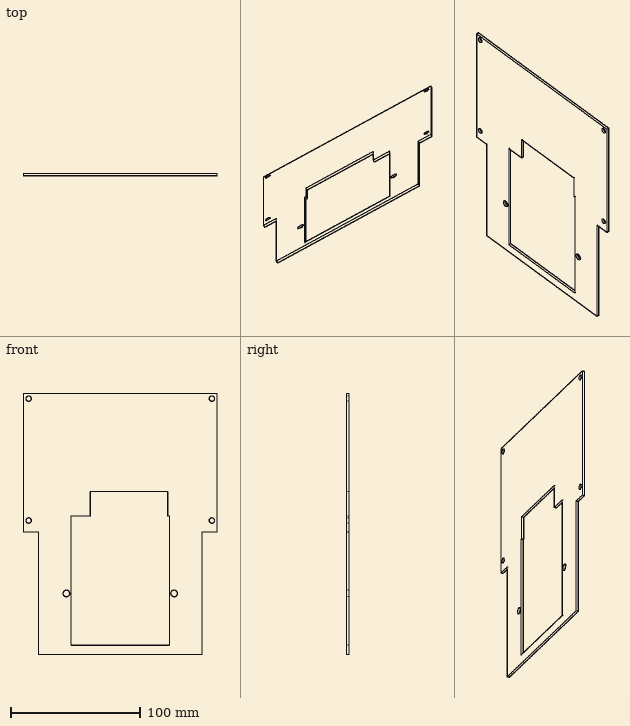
import cadquery as cq

thickness = 2.0
upper_width = 150.0
lower_width = 127.0
total_height = 202.5
lower_height = 95.0

window_width = 76.0
window_height = 100.0
window_bottom = 7.5
notch_width = 60.0
notch_height = 19.0
notch_right_step = 1.25

corner_hole_diameter = 4.0
corner_hole_inset = 4.0
corner_hole_spacing_z = 94.5
side_hole_diameter = 5.0
side_hole_spacing_x = 83.5
side_hole_height = 47.5

window_top = window_bottom + window_height
notch_right = window_width / 2 - notch_right_step
notch_center_x = notch_right - notch_width / 2
corner_hole_x = upper_width / 2 - corner_hole_inset
corner_hole_top = total_height - corner_hole_inset
corner_hole_bottom = corner_hole_top - corner_hole_spacing_z
side_hole_x = side_hole_spacing_x / 2


def panel(width, bottom, height, center_x=0.0):
    """Box through the plate thickness, placed by its bottom edge and centre line."""
    return (
        cq.Workplane("XY")
        .box(width, thickness, height, centered=(True, True, False))
        .translate((center_x, 0, bottom))
    )


def hole_pair(x, z, diameter):
    """Two through-hole cutters mirrored about the centre line."""
    return (
        cq.Workplane("XZ")
        .pushPoints([(-x, z), (x, z)])
        .circle(diameter / 2)
        .extrude(thickness, both=True)
    )


def plate():
    upper = panel(upper_width, lower_height, total_height - lower_height)
    lower = panel(lower_width, 0, lower_height)
    return upper.union(lower)


def window():
    opening = panel(window_width, window_bottom, window_height)
    notch = panel(notch_width, window_top, notch_height, notch_center_x)
    return opening.union(notch)


result = plate().cut(window())
for hole_z in (corner_hole_bottom, corner_hole_top):
    result = result.cut(hole_pair(corner_hole_x, hole_z, corner_hole_diameter))
result = result.cut(hole_pair(side_hole_x, side_hole_height, side_hole_diameter))